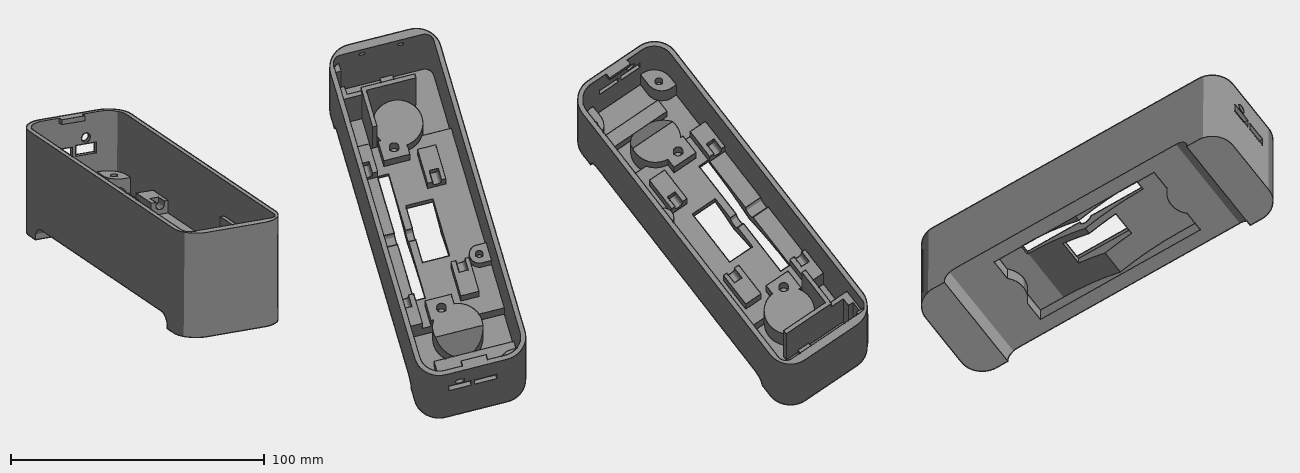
import cadquery as cq
LENGTH = 146.0
WIDTH = 45.0
HEIGHT = 43.8
CORNER_RADIUS = 10.0
WALL = 1.9
SIDE_WALL = 2.0
END_WALL = 3.5
END_CORNER_RADIUS = 3.6

FOOT_GAP = 115.0
FOOT_HEIGHT = 5.7
FOOT_RADIUS = 5.0

FLOOR_TOP = 7.9
DECK_TOP = 14.3
DECK_HALF = 39.7
DECK_THICKNESS = 1.9
DECK_SKIRT = 1.8
HOLLOW_WIDTH = 32.7
BULGE_HALF = 27.0
BULGE_BOTTOM = 7.6
BULGE_RADIUS = 80.3

WINDOW_LENGTH = 25.1
WINDOW_WIDTH = 11.1
SLOT_LENGTH = 54.9
SLOT_FRONT = 8.5
SLOT_BACK = 13.0
GROOVE_RADIUS = 2.5

CLIP_TOP = 19.5
CHANNEL_LENGTH = 5.1
CHANNEL_WIDTH = 3.6
CHANNEL_CENTER_Z = 18.1
BACK_CLIPS = ((-1, 26.5), (1, 27.3))
FRONT_CLIP_INNER = 17.4
FRONT_CLIP_LENGTH = 15.0
FRONT_CLIP_Y = (-12.1, -4.7)
FRONT_CHANNEL_Y = -8.6
BACK_CHANNEL_Y = 17.0

PAD_X = 45.0
PAD_RADIUS = 10.0
PAD_TOP = 20.1
LUG_INNER_X = 31.0
LUG_Y = (-1.2, 9.5)
PAD_HOLE_X = 35.5
PAD_HOLE_Y = 4.1
PAD_HOLE_RADIUS = 1.9
PAD_HOLE_DEPTH = 6.0
RAMP_TOP_X = -47.0

SILL_X = (-60.0, -54.0)
SILL_BACK = 12.1
SILL_TOP = PAD_TOP - (RAMP_TOP_X - SILL_X[1])

POST_TOP = 18.5
POST_REACH_X = -59.3
POST_REACH_Y = 11.5
POST_RADIUS = 6.7
POST_HOLE_X = -64.5
POST_HOLE_Y = 15.8
SCREW_RADIUS = 1.5
SCREW_DEPTH = 5.0
NOSE_POST_X = -16.6
NOSE_POST_Y = -16.5
NOSE_POST_RADIUS = 4.0

PARTITION_TOP = 35.9
PARTITION = 1.8
PARTITION_X = (39.7, 57.2)
PARTITION_Y = (-10.4, 11.7)
STEP_TOP = 32.4
STEP_FRONT = 17.4
STEP_END = 60.7
RAIL_FRONT = 19.5
CORNER_POST_X = 66.0
BAR_Y = (-4.7, 0.6)
BAR_TOP = 10.0

PORTS = [(2.2, 11.2, 26.5, 31.1), (-8.3, 0.7, 26.5, 30.7)]
LAMP_Y = 6.7
LAMP_Z = 33.7
LAMP_RADIUS = 1.9

LIP_HALF = 5.1
LIP_DEPTH = 2.2
LIP_HEIGHT = 2.0
SOCKET_Y = 7.9
SOCKET_Z = 39.4
SOCKET_RADIUS = 1.2
SOCKET_DEPTH = 2.5

INNER_LEFT = WALL - LENGTH / 2
INNER_RIGHT = LENGTH / 2 - END_WALL
INNER_Y = WIDTH / 2 - SIDE_WALL
DECK_BOTTOM = DECK_TOP - DECK_THICKNESS
HOLLOW_HALF = DECK_HALF - DECK_SKIRT


def box(x, y, z):
    """Box between the (low, high) pairs x, y and z."""
    size = (x[1] - x[0], y[1] - y[0], z[1] - z[0])
    return cq.Workplane("XY").box(*size, centered=False).translate((x[0], y[0], z[0]))


def mirrored(side, near, far):
    """(low, high) pair for a span measured from the middle on one side."""
    return tuple(sorted((side * near, side * far)))


def post(x, y, radius, bottom, top):
    """Upright cylinder."""
    return cq.Workplane("XY", origin=(x, y, bottom)).circle(radius).extrude(top - bottom)


def cavity():
    """Inside of the tray, full height above the lower floor."""
    room = box((INNER_LEFT, INNER_RIGHT), (-INNER_Y, INNER_Y), (FLOOR_TOP, HEIGHT))
    room = room.edges("|Z and <X").fillet(CORNER_RADIUS - WALL)
    return room.edges("|Z and >X").fillet(END_CORNER_RADIUS)


def foot_gap():
    """Round-cornered passage below the floor, through the full width."""
    gap = box((-FOOT_GAP / 2, FOOT_GAP / 2), (-WIDTH, WIDTH), (0, FOOT_HEIGHT))
    return gap.edges("|Y and >Z").fillet(FOOT_RADIUS)


def deck_hollow():
    """Space under the deck; its roof bulges downward to the middle in two arcs."""
    roof = (
        cq.Workplane("XZ", origin=(0, HOLLOW_WIDTH / 2, 0))
        .moveTo(-HOLLOW_HALF, FOOT_HEIGHT)
        .lineTo(-HOLLOW_HALF, DECK_BOTTOM)
        .lineTo(-BULGE_HALF, DECK_BOTTOM)
        .radiusArc((0, BULGE_BOTTOM), BULGE_RADIUS)
        .radiusArc((BULGE_HALF, DECK_BOTTOM), BULGE_RADIUS)
        .lineTo(HOLLOW_HALF, DECK_BOTTOM)
        .lineTo(HOLLOW_HALF, FOOT_HEIGHT)
        .close()
    )
    return roof.extrude(HOLLOW_WIDTH)


def deck_openings():
    """Window, long slot and the half-round groove running to the back wall."""
    window = cq.Workplane("XY").box(WINDOW_LENGTH, WINDOW_WIDTH, 2 * DECK_TOP)
    slot = box((-SLOT_LENGTH / 2, SLOT_LENGTH / 2), (SLOT_FRONT, SLOT_BACK), (0, DECK_TOP))
    groove = cq.Workplane("XZ", origin=(0, INNER_Y, DECK_TOP)).circle(GROOVE_RADIUS).extrude(INNER_Y)
    return window.union(slot).union(groove)


def clip(side, inner, length, y, channel_y):
    """Shaft clip whose channel opens upward and toward the middle."""
    block = box(mirrored(side, inner, inner + length), y, (DECK_BOTTOM, CLIP_TOP))
    half = CHANNEL_WIDTH / 2
    channel_x = mirrored(side, inner, inner + CHANNEL_LENGTH)
    throat = box(channel_x, (channel_y - half, channel_y + half), (CHANNEL_CENTER_Z, CLIP_TOP))
    seat = cq.Workplane("YZ", origin=(channel_x[0], channel_y, CHANNEL_CENTER_Z))
    return block.cut(throat).cut(seat.circle(half).extrude(CHANNEL_LENGTH))


def pad(side):
    """Round pad with a square lug and a blind hole."""
    disc = post(side * PAD_X, 0, PAD_RADIUS, FOOT_HEIGHT, PAD_TOP)
    lug = box(mirrored(side, LUG_INNER_X, DECK_HALF), LUG_Y, (DECK_BOTTOM, PAD_TOP))
    hole = post(side * PAD_HOLE_X, PAD_HOLE_Y, PAD_HOLE_RADIUS, PAD_TOP - PAD_HOLE_DEPTH, PAD_TOP)
    return disc.union(lug).cut(hole)


def pad_ramp():
    """Wedge removed from the -X pad."""
    wedge = (
        cq.Workplane("XZ", origin=(0, PAD_RADIUS, 0))
        .moveTo(RAMP_TOP_X, PAD_TOP)
        .lineTo(SILL_X[1], SILL_TOP)
        .lineTo(-PAD_X - PAD_RADIUS, SILL_TOP)
        .lineTo(-PAD_X - PAD_RADIUS, PAD_TOP)
        .close()
    )
    return wedge.extrude(2 * PAD_RADIUS)


def corner_screw_post(side):
    """Screw post filling a corner at the -X end, rounded toward the middle."""
    y = mirrored(side, POST_REACH_Y, WIDTH / 2)
    block = box((-LENGTH / 2, POST_REACH_X), y, (FOOT_HEIGHT, POST_TOP))
    inner_edge = "|Z and >X and <Y" if side > 0 else "|Z and >X and >Y"
    block = block.edges(inner_edge).fillet(POST_RADIUS)
    return block.cut(post(POST_HOLE_X, side * POST_HOLE_Y, SCREW_RADIUS, POST_TOP - SCREW_DEPTH, POST_TOP))


def front_screw_post():
    """Round-nosed screw post against the front wall."""
    x = (NOSE_POST_X - NOSE_POST_RADIUS, NOSE_POST_X + NOSE_POST_RADIUS)
    nose = post(NOSE_POST_X, NOSE_POST_Y, NOSE_POST_RADIUS, DECK_BOTTOM, POST_TOP)
    block = nose.union(box(x, (-INNER_Y, NOSE_POST_Y), (DECK_BOTTOM, POST_TOP)))
    return block.cut(post(NOSE_POST_X, NOSE_POST_Y, SCREW_RADIUS, POST_TOP - SCREW_DEPTH, POST_TOP))


def end_bay():
    """L-shaped partition, stepped back corner and low bar at the +X end."""
    tall = (FOOT_HEIGHT, PARTITION_TOP)
    step = (FOOT_HEIGHT, STEP_TOP)
    cross_x = (PARTITION_X[1] - PARTITION, PARTITION_X[1])
    bay = box(PARTITION_X, (PARTITION_Y[1] - PARTITION, PARTITION_Y[1]), tall)
    bay = bay.union(box(cross_x, PARTITION_Y, tall))
    bay = bay.union(box(cross_x, (PARTITION_Y[1], INNER_Y), step))
    bay = bay.union(box((cross_x[0], STEP_END), (STEP_FRONT, INNER_Y), step))
    bay = bay.union(box((STEP_END, CORNER_POST_X), (RAIL_FRONT, INNER_Y), step))
    bay = bay.union(box((CORNER_POST_X, INNER_RIGHT), (STEP_FRONT, INNER_Y), tall))
    return bay.union(box((PARTITION_X[1], INNER_RIGHT), BAR_Y, (FOOT_HEIGHT, BAR_TOP)))


def end_wall_openings():
    """Ports and lamp hole at the -X end, blind sockets at the +X end."""
    outside = -LENGTH / 2
    lamp = cq.Workplane("YZ", origin=(outside, LAMP_Y, LAMP_Z))
    openings = lamp.circle(LAMP_RADIUS).extrude(WALL)
    for front, back, bottom, top in PORTS:
        openings = openings.union(box((outside, INNER_LEFT), (front, back), (bottom, top)))
    for side in (-1, 1):
        socket = cq.Workplane("YZ", origin=(INNER_RIGHT, side * SOCKET_Y, SOCKET_Z))
        openings = openings.union(socket.circle(SOCKET_RADIUS).extrude(SOCKET_DEPTH))
    return openings


outline = cq.Workplane("XY").box(LENGTH, WIDTH, HEIGHT, centered=(True, True, False))
outline = outline.edges("|Z").fillet(CORNER_RADIUS)
body = outline.cut(cavity())

body = body.union(box((-DECK_HALF, DECK_HALF), (-INNER_Y, INNER_Y), (FOOT_HEIGHT, DECK_TOP)))
body = body.cut(deck_hollow()).cut(foot_gap()).cut(deck_openings())

body = body.union(box(SILL_X, (-INNER_Y, SILL_BACK), (FOOT_HEIGHT, SILL_TOP)))
body = body.union(pad(-1).cut(pad_ramp()))
lip_x = (INNER_LEFT, INNER_LEFT + LIP_DEPTH)
body = body.union(box(lip_x, (-LIP_HALF, LIP_HALF), (HEIGHT - LIP_HEIGHT, HEIGHT)))
for side in (-1, 1):
    body = body.union(corner_screw_post(side).intersect(outline))

for side, inner in BACK_CLIPS:
    body = body.union(clip(side, inner, DECK_HALF - inner, (SLOT_BACK, INNER_Y), BACK_CHANNEL_Y))
for side in (-1, 1):
    body = body.union(clip(side, FRONT_CLIP_INNER, FRONT_CLIP_LENGTH, FRONT_CLIP_Y, FRONT_CHANNEL_Y))
body = body.union(front_screw_post())

body = body.union(pad(1)).union(end_bay())

result = body.cut(end_wall_openings())